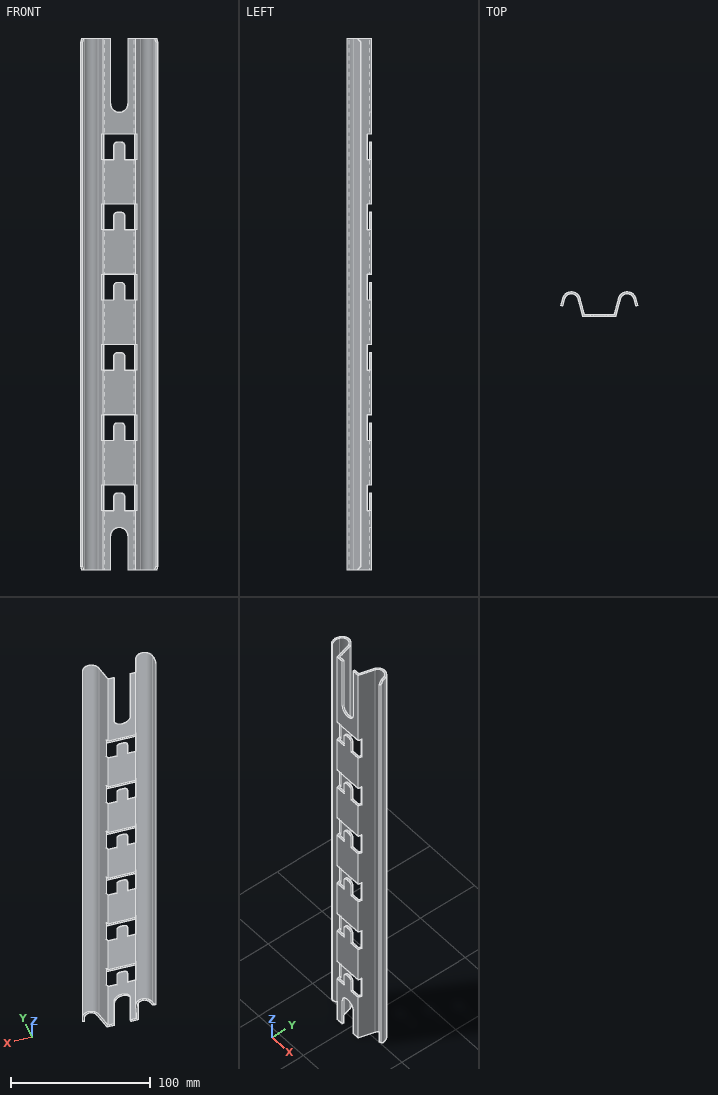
import cadquery as cq
import math

length = 380.0
width = 55.0
height = 18.0

sheet = 1.5
crown_radius = 6.5
crown_spacing = 40.0
wall_angle = math.radians(15)
lip_corner_chamfer = 2.5

window_count = 6
window_pitch = 50.0
window_height = 18.2
window_depth = 3.0
first_window_z = 42.5
tongue_width = 8.0
tongue_height = 12.5
tongue_corner_radius = 2.5

slot_width = 12.0
bottom_slot_depth = 30.5
top_slot_depth = 53.0

cos_a = math.cos(wall_angle)
sin_a = math.sin(wall_angle)
tan_a = math.tan(wall_angle)
crown_x = crown_spacing / 2
crown_y = height - crown_radius
under_radius = crown_radius - sheet
lip_tip_x = width / 2
lip_tip_y = crown_y + (crown_radius / cos_a - (lip_tip_x - crown_x)) / tan_a


def crown_point(radius, angle):
    """Point on a circle about the crown centre, angle measured from +X."""
    return (crown_x + radius * math.cos(angle), crown_y + radius * math.sin(angle))


def wall_x(radius, y):
    """X at height y of the wall line tangent to the crown circle of this radius."""
    return crown_x - radius / cos_a - (crown_y - y) * tan_a


def half_rail():
    """Right half of the section, extruded along Z."""
    top = math.pi / 2
    inner_side = math.pi - wall_angle
    return (
        cq.Workplane("XY")
        .moveTo(0, 0)
        .lineTo(wall_x(under_radius, 0), 0)
        .lineTo(*crown_point(under_radius, inner_side))
        .threePointArc(crown_point(under_radius, top), crown_point(under_radius, wall_angle))
        .lineTo(lip_tip_x - sheet * cos_a, lip_tip_y - sheet * sin_a)
        .lineTo(lip_tip_x, lip_tip_y)
        .lineTo(*crown_point(crown_radius, wall_angle))
        .threePointArc(crown_point(crown_radius, top), crown_point(crown_radius, inner_side))
        .lineTo(wall_x(crown_radius, sheet), sheet)
        .lineTo(0, sheet)
        .close()
        .extrude(length)
        .edges(cq.selectors.NearestToPointSelector((lip_tip_x - sheet / 2, lip_tip_y, 0)))
        .chamfer(lip_corner_chamfer)
        .edges(cq.selectors.NearestToPointSelector((lip_tip_x - sheet / 2, lip_tip_y, length)))
        .chamfer(lip_corner_chamfer)
    )


def window_cutter(z):
    """Window through web and wall feet, leaving a tongue standing on its lower edge."""
    opening = cq.Workplane("XY").box(
        width, window_depth, window_height, centered=(True, False, False)
    )
    tongue = (
        cq.Workplane("XY")
        .box(tongue_width, window_depth, tongue_height, centered=(True, False, False))
        .edges("|Y and >Z")
        .fillet(tongue_corner_radius)
    )
    return opening.cut(tongue).translate((0, 0, z))


def end_slot_cutter(depth):
    """Slot rising from Z = 0 with a full round end."""
    slot_radius = slot_width / 2
    return (
        cq.Workplane("XZ")
        .moveTo(-slot_radius, 0)
        .lineTo(-slot_radius, depth - slot_radius)
        .threePointArc((0, depth), (slot_radius, depth - slot_radius))
        .lineTo(slot_radius, 0)
        .close()
        .extrude(-sheet)
    )


right_half = half_rail()
rail = right_half.union(right_half.mirror("YZ"))

for index in range(window_count):
    rail = rail.cut(window_cutter(first_window_z + index * window_pitch))

rail = rail.cut(end_slot_cutter(bottom_slot_depth))
rail = rail.cut(end_slot_cutter(top_slot_depth).mirror("XY").translate((0, 0, length)))

result = rail